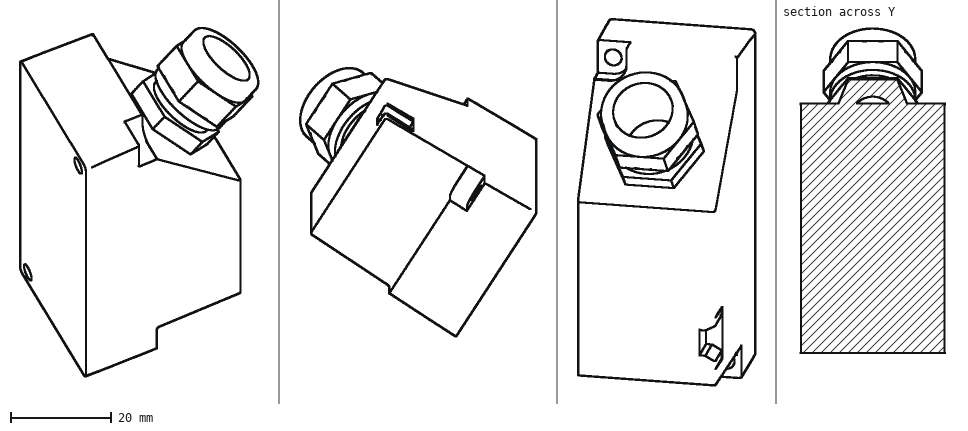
import cadquery as cq
import math

WIDTH = 30.0
BACK_WIDTH = 28.0
HEIGHT = 70.0
DEPTH = 35.0
FLANGE_DEPTH = 16.0
REAR_BOTTOM = 7.0
SLOPE_SUM = 79.0
CORNER_RADIUS = 1.0
EDGE_FILLET = 0.5

HOLE_DIAMETER = 3.4
HOLE_INSET = 3.5
SEAT_RADIUS = 3.5
SEAT_FLOOR = 12.0

NOTCH_CENTRE_Z = 15.9
NOTCH_LENGTH = 6.5
PAD_HEIGHT = 11.0
NOTCH_MOUTH = 7.6
NOTCH_THROAT = 5.4
NOTCH_BEVEL_DEPTH = 2.0
NOTCH_DEPTH = 3.2

GLAND_OFFSET = 27.5
HEX_FLATS = 17.0
GLAND_DIAMETER = 17.0
NECK_DIAMETER = 14.0
BORE_DIAMETER = 12.0
BASE_HEX_END = 3.7
NECK_END = 6.0
COLLAR_END = 8.2
NUT_END = 14.2
GLAND_END = 18.0
GLAND_RIM_FILLET = 0.5


def housing_body():
    """Side profile trimmed by the rounded front outline and the drafted sides."""
    profile = [
        (0, 0),
        (FLANGE_DEPTH, 0),
        (FLANGE_DEPTH, REAR_BOTTOM),
        (DEPTH, REAR_BOTTOM),
        (DEPTH, SLOPE_SUM - DEPTH),
        (FLANGE_DEPTH, SLOPE_SUM - FLANGE_DEPTH),
        (FLANGE_DEPTH, HEIGHT),
        (0, HEIGHT),
    ]
    body = cq.Workplane("YZ").polyline(profile).close().extrude(WIDTH / 2, both=True)
    for edge_z in (HEIGHT, SLOPE_SUM - FLANGE_DEPTH, REAR_BOTTOM):
        edge = cq.selectors.NearestToPointSelector((0, FLANGE_DEPTH, edge_z))
        body = body.edges(edge).fillet(EDGE_FILLET)
    outline = (
        cq.Workplane("XY")
        .box(WIDTH, DEPTH, HEIGHT, centered=(True, False, False))
        .edges("|Y")
        .fillet(CORNER_RADIUS)
    )
    plan = [
        (-WIDTH / 2, 0),
        (WIDTH / 2, 0),
        (BACK_WIDTH / 2, DEPTH),
        (-BACK_WIDTH / 2, DEPTH),
    ]
    drafted = cq.Workplane("XY").polyline(plan).close().extrude(HEIGHT)
    body = body.intersect(outline).intersect(drafted)
    return body.faces(">Y").edges("|Z").fillet(EDGE_FILLET)


def screw_corner(side):
    """Screw hole and seat: side +1 is the upper +X corner, -1 the lower -X corner."""
    x = side * (WIDTH / 2 - HOLE_INSET)
    z = HEIGHT / 2 + side * (HEIGHT / 2 - HOLE_INSET)
    hole = cq.Workplane("XZ").center(x, z).circle(HOLE_DIAMETER / 2).extrude(-FLANGE_DEPTH)
    seat_side = SEAT_RADIUS + HOLE_INSET
    seat_shift = side * (seat_side / 2 - SEAT_RADIUS)
    inner_edge = "<X and <Z" if side > 0 else ">X and >Z"
    seat = (
        cq.Workplane("XZ", origin=(0, SEAT_FLOOR, 0))
        .center(x + seat_shift, z + seat_shift)
        .rect(seat_side, seat_side)
        .extrude(SEAT_FLOOR - FLANGE_DEPTH)
        .edges("|Y")
        .edges(inner_edge)
        .fillet(SEAT_RADIUS)
    )
    return hole.union(seat)


def latch_notch():
    """Upright pad with a slot whose mouth is bevelled above and below."""
    pad_x = -BACK_WIDTH / 2
    start_y = DEPTH - NOTCH_LENGTH
    outer_x = -WIDTH / 2
    bevel_x = pad_x + NOTCH_BEVEL_DEPTH
    floor_x = pad_x + NOTCH_DEPTH
    section = [
        (outer_x, -PAD_HEIGHT / 2),
        (pad_x, -PAD_HEIGHT / 2),
        (pad_x, -NOTCH_MOUTH / 2),
        (bevel_x, -NOTCH_THROAT / 2),
        (floor_x, -NOTCH_THROAT / 2),
        (floor_x, NOTCH_THROAT / 2),
        (bevel_x, NOTCH_THROAT / 2),
        (pad_x, NOTCH_MOUTH / 2),
        (pad_x, PAD_HEIGHT / 2),
        (outer_x, PAD_HEIGHT / 2),
    ]
    return (
        cq.Workplane("XZ", origin=(0, start_y, NOTCH_CENTRE_Z))
        .polyline(section)
        .close()
        .extrude(-NOTCH_LENGTH)
    )


def cable_gland():
    """Base hexagon, neck, collar, nut and rim stacked along the gland axis, with a bore."""
    base_y = (SLOPE_SUM - GLAND_OFFSET) / 2
    base_z = (SLOPE_SUM + GLAND_OFFSET) / 2
    base = cq.Plane(origin=(0, base_y, base_z), xDir=(1, 0, 0), normal=(0, 1, 1))
    hex_corners = HEX_FLATS / math.cos(math.pi / 6)

    def disc(start, end, diameter):
        return cq.Workplane(base).workplane(offset=start).circle(diameter / 2).extrude(end - start)

    def hexagon(start, end):
        return cq.Workplane(base).workplane(offset=start).polygon(6, hex_corners).extrude(end - start)

    rim = disc(NUT_END, GLAND_END, GLAND_DIAMETER)
    rim_face = cq.selectors.DirectionMinMaxSelector(cq.Vector(0, 1, 1))
    rim = rim.faces(rim_face).edges().fillet(GLAND_RIM_FILLET)
    gland = (
        hexagon(0, BASE_HEX_END)
        .union(disc(BASE_HEX_END, NECK_END, NECK_DIAMETER))
        .union(disc(NECK_END, COLLAR_END, GLAND_DIAMETER))
        .union(hexagon(COLLAR_END, NUT_END))
        .union(rim)
    )
    return gland.cut(disc(0, GLAND_END, BORE_DIAMETER))


result = housing_body()
for corner in (1, -1):
    result = result.cut(screw_corner(corner))
result = result.cut(latch_notch()).union(cable_gland())